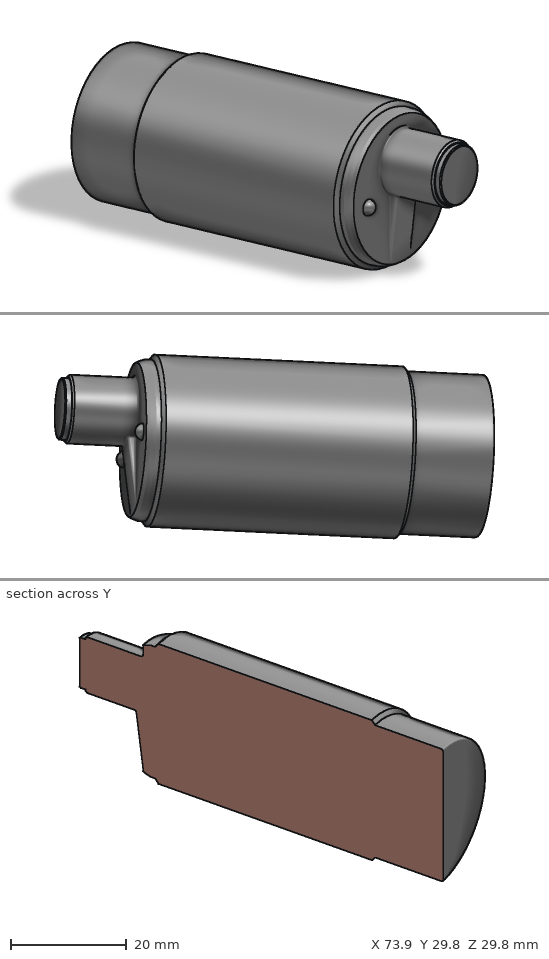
import cadquery as cq

total_length = 73.9

body_radius = 14.9
face_radius = 14.1
face_length = 13.8
face_edge_fillet = 0.45
body_chamfer_length = 0.7
body_rear = 58.5

cap_radius = 14.05
cap_straight_end = 59.4
cap_taper_end = 60.4
cap_taper_radius = 13.75
cap_rear = 61.05
cap_rear_radius = 13.4

connector_height = 4.95
connector_radius = 6.0
connector_root_fillet = 0.4
connector_shoulder = 72.7
connector_chamfer = 0.4
tip_radius = 5.4
tip_chamfer = 0.2

dome_offset = 9.2
dome_height = -1.0
dome_base_radius = 1.5
dome_rise = 1.25

rib_width = 5.9
rib_toe_height = -12.7
rib_rise = 1.4
rib_edge_fillet = 0.4
rib_root_fillet = 0.4

edge_margin = 0.1


def make_housing():
    """Turn the sensing end, the body and the end cap in one profile."""
    return (
        cq.Workplane("XY")
        .lineTo(0, face_radius - face_edge_fillet)
        .radiusArc((face_edge_fillet, face_radius), face_edge_fillet)
        .lineTo(face_length, face_radius)
        .lineTo(face_length + body_chamfer_length, body_radius)
        .lineTo(body_rear - body_chamfer_length, body_radius)
        .lineTo(body_rear, cap_radius)
        .lineTo(cap_straight_end, cap_radius)
        .lineTo(cap_taper_end, cap_taper_radius)
        .lineTo(cap_rear, cap_rear_radius)
        .lineTo(cap_rear, 0)
        .close()
        .revolve(360, (0, 0, 0), (1, 0, 0))
    )


def make_connector():
    """Turn the connector about its own axis, starting inside the end cap."""
    return (
        cq.Workplane("XY")
        .moveTo(body_rear, 0)
        .lineTo(body_rear, connector_radius)
        .lineTo(connector_shoulder - connector_chamfer, connector_radius)
        .lineTo(connector_shoulder, connector_radius - connector_chamfer)
        .lineTo(connector_shoulder, tip_radius)
        .lineTo(total_length - tip_chamfer, tip_radius)
        .lineTo(total_length, tip_radius - tip_chamfer)
        .lineTo(total_length, 0)
        .close()
        .revolve(360, (0, 0, 0), (1, 0, 0))
        .translate((0, 0, connector_height))
    )


def make_dome(side):
    """Turn one domed button on a short buried stem; side is -1 or +1 along Y."""
    sphere_radius = (dome_base_radius**2 + dome_rise**2) / (2 * dome_rise)
    return (
        cq.Workplane("XY")
        .moveTo(cap_taper_end, 0)
        .lineTo(cap_taper_end, dome_base_radius)
        .lineTo(cap_rear, dome_base_radius)
        .radiusArc((cap_rear + dome_rise, 0), sphere_radius)
        .close()
        .revolve(360, (0, 0, 0), (1, 0, 0))
        .translate((0, side * dome_offset, dome_height))
    )


def make_rib():
    """Make the wedge that climbs from the rear face to the connector underside."""
    connector_underside = connector_height - connector_radius
    slope = rib_rise / (connector_underside - rib_toe_height)
    top_x = cap_rear + slope * (connector_height - rib_toe_height)
    rib = (
        cq.Workplane("XZ")
        .moveTo(cap_taper_end, rib_toe_height)
        .lineTo(cap_rear, rib_toe_height)
        .lineTo(top_x, connector_height)
        .lineTo(cap_taper_end, connector_height)
        .close()
        .extrude(rib_width / 2, both=True)
    )
    return rib.faces(">X").edges("not |Y").fillet(rib_edge_fillet)


def box_on_connector_axis(x_min, x_max, half_size):
    """Make a selector for edges lying wholly within a box centred on the connector axis."""
    return cq.selectors.BoxSelector(
        (x_min, -half_size, connector_height - half_size),
        (x_max, half_size, connector_height + half_size),
        boundingbox=True,
    )


near_connector = connector_radius + edge_margin
connector_root = box_on_connector_axis(cap_rear - edge_margin, cap_rear + edge_margin, near_connector)
result = make_housing().union(make_connector())
result = result.edges(connector_root).fillet(connector_root_fillet)

result = result.union(make_rib())
rib_root_start = cap_rear + connector_root_fillet + edge_margin
rib_root_end = cap_rear + rib_rise + edge_margin
rib_root = box_on_connector_axis(rib_root_start, rib_root_end, near_connector)
result = result.edges(rib_root).fillet(rib_root_fillet)

for side in (-1, 1):
    result = result.union(make_dome(side))